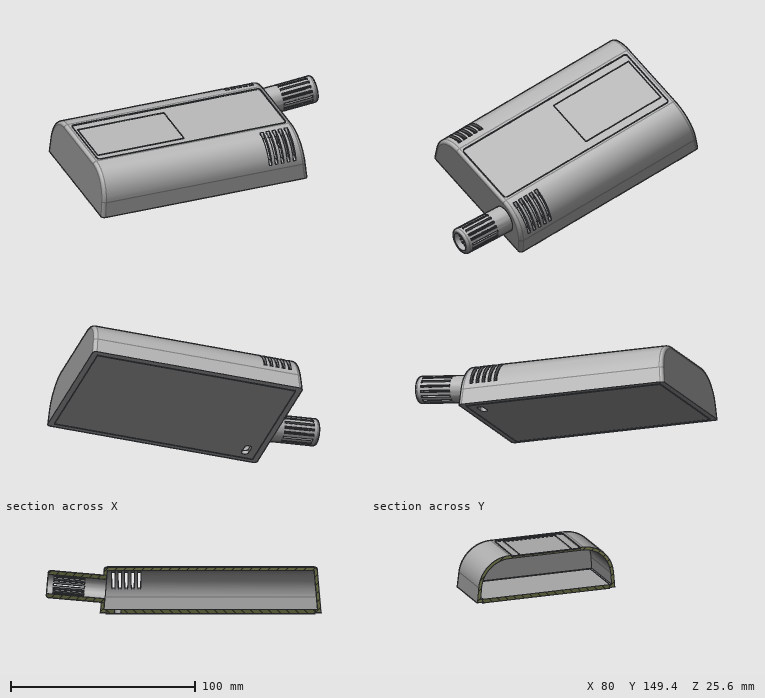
import cadquery as cq
import math

HOUSING_WIDTH = 80.0
HOUSING_LENGTH = 120.1
HOUSING_HEIGHT = 25.1
SHOULDER_RADIUS = 18.0
DRAFT = math.radians(5)
WALL = 2.0
END_FILLET = 2.0

BASE_MARGIN = 3.3
BASE_PROUD = 0.5
FLOOR_TOP = 2.0
BASE_LENGTH = HOUSING_LENGTH - 2 * BASE_MARGIN
BASE_WIDTH = HOUSING_WIDTH - 2 * BASE_MARGIN

OPENING_LENGTH = 9.0
OPENING_WIDTH = 3.9
OPENING_LEFT_X = -32.9
OPENING_Y = 50.5

LABEL_WIDTH = 39.7
LABEL_LENGTH = 110.0
LABEL_Y = 0.5
LABEL_CORNER = 1.5
LABEL_THICKNESS = 0.5
LABEL_SUNK = 0.3
WINDOW_WIDTH = 29.9
WINDOW_LENGTH = 50.3
WINDOW_X = 0.1
WINDOW_Y = -27.6

VENT_COUNT = 5
VENT_SPAN = 14.0
VENT_PITCH = VENT_SPAN / (VENT_COUNT - 1)
VENT_FIRST_Y = 52.9
VENT_TOP_X, VENT_TOP_Z = 25.0, 24.8
VENT_LOW_X, VENT_LOW_Z = 39.1, 11.4
VENT_SAG = 0.7
VENT_TOP_WIDTH = 2.0
VENT_LOW_WIDTH = 1.5

PROBE_X = -23.9
PROBE_Z = 13.1
PROBE_DIAMETER = 15.0
PROBE_BORE = 10.5
PROBE_REACH = 30.0
PROBE_TIP_FILLET = 1.5
PROBE_SLOT_COUNT = 16
PROBE_SLOT_WIDTH = 1.0
PROBE_SLOT_LENGTH = 16.9
PROBE_SLOT_TIP_GAP = 3.5


def shell_form(inset):
    """Solid with the housing's outer shape, all walls moved inwards by the inset."""
    half_width = HOUSING_WIDTH / 2 - inset / math.cos(DRAFT)
    half_length = HOUSING_LENGTH / 2 - inset / math.cos(DRAFT)
    height = HOUSING_HEIGHT - inset
    radius = SHOULDER_RADIUS - inset
    center_z = height - radius
    center_x = half_width - (radius + center_z * math.sin(DRAFT)) / math.cos(DRAFT)

    def shoulder(angle):
        return center_x + radius * math.cos(angle), center_z + radius * math.sin(angle)

    low = shoulder(DRAFT)
    middle = shoulder((DRAFT + math.pi / 2) / 2)
    section = (
        cq.Workplane("XZ")
        .moveTo(-half_width, 0)
        .lineTo(half_width, 0)
        .lineTo(*low)
        .threePointArc(middle, (center_x, height))
        .lineTo(-center_x, height)
        .threePointArc((-middle[0], middle[1]), (-low[0], low[1]))
        .close()
        .extrude(half_length, both=True)
    )
    half_top = half_length - height * math.tan(DRAFT)
    side = (
        cq.Workplane("YZ")
        .polyline([(-half_length, 0), (half_length, 0), (half_top, height), (-half_top, height)])
        .close()
        .extrude(half_width, both=True)
    )
    return section.intersect(side)


def block(width, length, bottom, top):
    """Box centred on the Z axis between two heights."""
    return cq.Workplane("XY").workplane(offset=bottom).rect(width, length).extrude(top - bottom)


def label_block(bottom, top):
    """Rounded rectangle of the label between two heights."""
    label_shape = block(LABEL_WIDTH, LABEL_LENGTH, bottom, top).edges("|Z").fillet(LABEL_CORNER)
    return label_shape.translate((0, LABEL_Y, 0))


def vent_cutters():
    """Slots that cross one shoulder, wider at the top than at the low end."""
    chord_x = VENT_LOW_X - VENT_TOP_X
    chord_z = VENT_TOP_Z - VENT_LOW_Z
    chord = math.hypot(chord_x, chord_z)
    sag_point = (
        (VENT_TOP_X + VENT_LOW_X) / 2 - VENT_SAG * chord_z / chord,
        (VENT_TOP_Z + VENT_LOW_Z) / 2 - VENT_SAG * chord_x / chord,
    )
    cutters = cq.Workplane("XY")
    for index in range(VENT_COUNT):
        y = VENT_FIRST_Y - index * VENT_PITCH
        swath = (
            cq.Workplane("XZ", origin=(0, y, 0))
            .moveTo(VENT_TOP_X, VENT_TOP_Z)
            .threePointArc(sag_point, (VENT_LOW_X, VENT_LOW_Z))
            .lineTo(HOUSING_WIDTH / 2, VENT_LOW_Z)
            .lineTo(HOUSING_WIDTH / 2, HOUSING_HEIGHT)
            .lineTo(VENT_TOP_X, HOUSING_HEIGHT)
            .close()
            .extrude(VENT_PITCH / 2, both=True)
        )
        taper = (
            cq.Workplane("YZ", origin=(0, y, 0))
            .polyline(
                [
                    (-VENT_LOW_WIDTH / 2, VENT_LOW_Z),
                    (VENT_LOW_WIDTH / 2, VENT_LOW_Z),
                    (VENT_TOP_WIDTH / 2, HOUSING_HEIGHT),
                    (-VENT_TOP_WIDTH / 2, HOUSING_HEIGHT),
                ]
            )
            .close()
            .extrude(HOUSING_WIDTH / 2)
        )
        cutters = cutters.add(swath.intersect(taper))
    return cutters.combine()


def probe_plane():
    """Plane on the rear wall whose normal is the probe axis, pointing outwards."""
    wall_y = HOUSING_LENGTH / 2 - PROBE_Z * math.tan(DRAFT)
    return cq.Plane(
        origin=(PROBE_X, wall_y, PROBE_Z),
        xDir=(1, 0, 0),
        normal=(0, math.cos(DRAFT), math.sin(DRAFT)),
    )


def make_housing():
    """Hollow housing with the openings for the base, label, vents and probe."""
    outer = shell_form(0).faces("<Y or >Y").edges("not <Z").fillet(END_FILLET)
    cavity = shell_form(WALL).intersect(
        block(HOUSING_WIDTH, HOUSING_LENGTH, FLOOR_TOP, HOUSING_HEIGHT)
    )
    vents = vent_cutters()
    probe_hole = (
        cq.Workplane(probe_plane()).circle(PROBE_DIAMETER / 2).extrude(2 * WALL, both=True)
    )
    return (
        outer.cut(cavity)
        .cut(block(BASE_WIDTH, BASE_LENGTH, 0, FLOOR_TOP))
        .cut(label_block(HOUSING_HEIGHT - LABEL_SUNK - LABEL_THICKNESS, HOUSING_HEIGHT))
        .cut(vents)
        .cut(vents.mirror("YZ"))
        .cut(probe_hole)
    )


def make_base():
    """Plate filling the housing's bottom opening."""
    opening = (
        cq.Workplane("XY", origin=(OPENING_LEFT_X + OPENING_LENGTH / 2, OPENING_Y, -BASE_PROUD))
        .slot2D(OPENING_LENGTH, OPENING_WIDTH)
        .extrude(BASE_PROUD + FLOOR_TOP)
    )
    return block(BASE_WIDTH, BASE_LENGTH, -BASE_PROUD, FLOOR_TOP).cut(opening)


def make_window():
    """Display window, level with the top of the label."""
    top = HOUSING_HEIGHT - LABEL_SUNK
    window = block(WINDOW_WIDTH, WINDOW_LENGTH, top - LABEL_THICKNESS, top)
    return window.translate((WINDOW_X, WINDOW_Y, 0))


def make_label(window):
    """Label with an opening for the display window."""
    top = HOUSING_HEIGHT - LABEL_SUNK
    return label_block(top - LABEL_THICKNESS, top).cut(window)


def make_probe_cap():
    """Slotted tube that starts inside the housing wall."""
    plane = probe_plane()
    cap = (
        cq.Workplane(plane)
        .workplane(offset=-WALL)
        .circle(PROBE_DIAMETER / 2)
        .extrude(WALL + PROBE_REACH)
        .faces(">Y")
        .edges()
        .fillet(PROBE_TIP_FILLET)
    )
    bore = (
        cq.Workplane(plane)
        .workplane(offset=-WALL)
        .circle(PROBE_BORE / 2)
        .extrude(WALL + PROBE_REACH)
    )
    cap = cap.cut(bore)
    slot_start = PROBE_REACH - PROBE_SLOT_TIP_GAP - PROBE_SLOT_LENGTH
    for index in range(PROBE_SLOT_COUNT // 2):
        slot_pair = (
            cq.Workplane(plane)
            .workplane(offset=slot_start)
            .transformed(rotate=(0, 0, index * 360 / PROBE_SLOT_COUNT))
            .rect(PROBE_DIAMETER, PROBE_SLOT_WIDTH)
            .extrude(PROBE_SLOT_LENGTH)
        )
        cap = cap.cut(slot_pair)
    return cap


housing = make_housing()
base = make_base()
window = make_window()
label = make_label(window)
probe_cap = make_probe_cap()

result = cq.Compound.makeCompound(
    [body.solids().val() for body in (housing, base, label, window, probe_cap)]
)